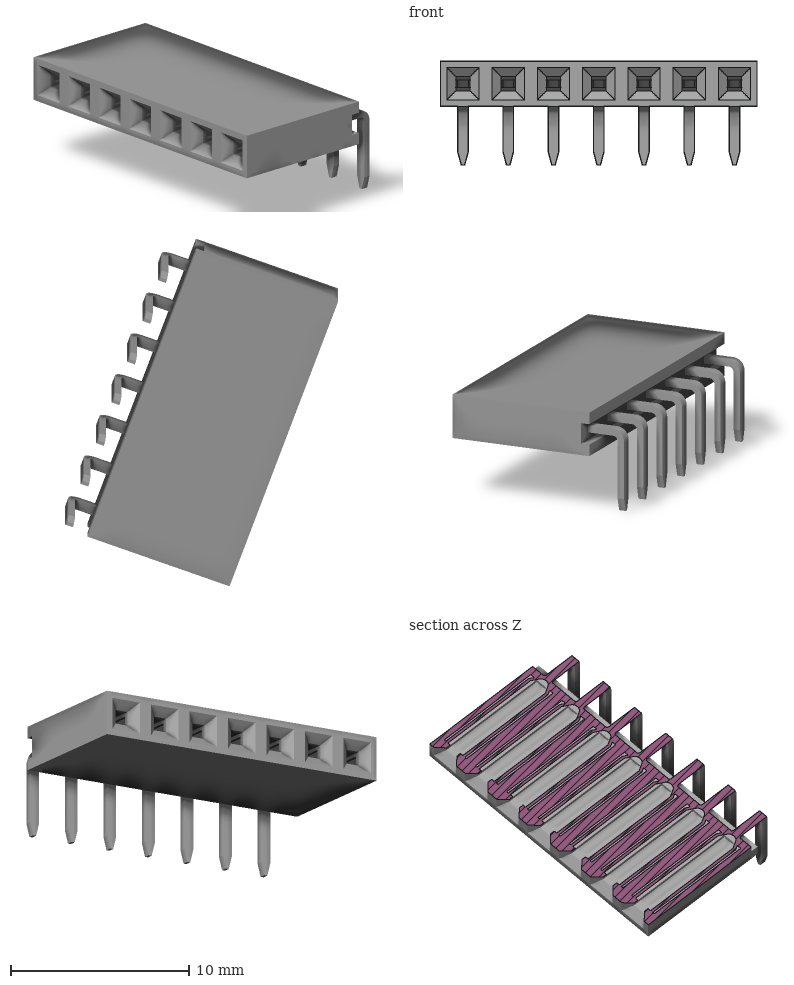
import cadquery as cq
import math

pitch = 2.54
contact_count = 7
body_length = pitch * contact_count
body_depth = 8.5
body_height = 2.54
notch_depth = 0.5
notch_height = 1.2
notch_floor_y = body_depth - notch_depth

funnel_size = 1.8
bore_size = 0.8
funnel_depth = (funnel_size - bore_size) / 2
throat_depth = 0.3
chamber_front_y = funnel_depth + throat_depth
chamber_back_wall = 0.5
chamber_back_y = notch_floor_y - chamber_back_wall
chamber_width = funnel_size

contact_thickness = 0.4
tine_gap = 1.2
tine_width = 0.2
flare_angle = math.radians(30)
crotch_radius = 0.43
flare_start_y = notch_floor_y + 0.1
pin_width = 0.6
tip_width = 0.2
tip_length = 0.75
pin_reach = 1.7
pin_drop = 3.3
bend_inner_radius = 0.3
bend_outer_radius = bend_inner_radius + contact_thickness

crotch_edge_y = flare_start_y - tine_width / math.sin(flare_angle)
crotch_sag = crotch_radius - math.sqrt(crotch_radius**2 - (pin_width / 2) ** 2)
pin_back_y = body_depth + pin_reach
pin_bottom_z = -body_height / 2 - pin_drop


def make_body():
    """Plain block with a notch running along its rear face."""
    body = cq.Workplane("XY").box(body_length, body_depth, body_height, centered=(True, False, True))
    notch = (
        cq.Workplane("XY")
        .box(body_length, notch_depth, notch_height, centered=(True, False, True))
        .translate((0, notch_floor_y, 0))
    )
    return body.cut(notch)


def make_opening():
    """Funnel, bore and tine chamber for one contact, centred on x = 0."""
    funnel = (
        cq.Workplane("XZ")
        .rect(funnel_size, funnel_size)
        .workplane(offset=-funnel_depth)
        .rect(bore_size, bore_size)
        .loft(ruled=True)
    )
    bore = (
        cq.Workplane("XY")
        .box(bore_size, chamber_back_y - funnel_depth, bore_size, centered=(True, False, True))
        .translate((0, funnel_depth, 0))
    )
    chamber = (
        cq.Workplane("XY")
        .box(chamber_width, chamber_back_y - chamber_front_y, contact_thickness, centered=(True, False, True))
        .translate((0, chamber_front_y, 0))
    )
    return funnel.union(bore).union(chamber)


def flare_end_y(start_y, half_width):
    """Y at which a flare starting at the pin's side reaches half_width from the centre."""
    return start_y - (half_width - pin_width / 2) / math.tan(flare_angle)


def make_fork_gap():
    """Space between the tines, from the chamber front to the rounded crotch."""
    half_gap = tine_gap / 2
    half_crotch = pin_width / 2
    gap_flare_y = flare_end_y(crotch_edge_y, half_gap)
    return (
        cq.Workplane("XY")
        .workplane(offset=-contact_thickness / 2)
        .moveTo(-half_gap, chamber_front_y)
        .lineTo(-half_gap, gap_flare_y)
        .lineTo(-half_crotch, crotch_edge_y)
        .threePointArc((0, crotch_edge_y + crotch_sag), (half_crotch, crotch_edge_y))
        .lineTo(half_gap, gap_flare_y)
        .lineTo(half_gap, chamber_front_y)
        .close()
        .extrude(contact_thickness)
    )


def make_fork(gap):
    """Two flat tines that flare out from the pin and run forward on both sides of the gap."""
    half_width = tine_gap / 2 + tine_width
    fork_flare_y = flare_end_y(flare_start_y, half_width)
    blank = (
        cq.Workplane("XY")
        .workplane(offset=-contact_thickness / 2)
        .moveTo(-half_width, chamber_front_y)
        .lineTo(-half_width, fork_flare_y)
        .lineTo(-pin_width / 2, flare_start_y)
        .lineTo(pin_width / 2, flare_start_y)
        .lineTo(half_width, fork_flare_y)
        .lineTo(half_width, chamber_front_y)
        .close()
        .extrude(contact_thickness)
    )
    return blank.cut(gap)


def make_pin():
    """Strip leaving the fork toward +Y, bent down and tapered to a tip."""
    top_z = contact_thickness / 2
    strip = (
        cq.Workplane("YZ")
        .moveTo(flare_start_y, top_z)
        .lineTo(pin_back_y - bend_outer_radius, top_z)
        .radiusArc((pin_back_y, top_z - bend_outer_radius), bend_outer_radius)
        .lineTo(pin_back_y, pin_bottom_z)
        .lineTo(pin_back_y - contact_thickness, pin_bottom_z)
        .lineTo(pin_back_y - contact_thickness, top_z - bend_outer_radius)
        .radiusArc((pin_back_y - bend_outer_radius, -top_z), -bend_inner_radius)
        .lineTo(flare_start_y, -top_z)
        .close()
        .extrude(pin_width / 2, both=True)
    )
    taper_z = pin_bottom_z + tip_length
    outline = (
        cq.Workplane("XZ")
        .moveTo(-pin_width / 2, top_z)
        .lineTo(pin_width / 2, top_z)
        .lineTo(pin_width / 2, taper_z)
        .lineTo(tip_width / 2, pin_bottom_z)
        .lineTo(-tip_width / 2, pin_bottom_z)
        .lineTo(-pin_width / 2, taper_z)
        .close()
        .extrude(-pin_back_y)
    )
    return strip.intersect(outline)


opening = make_opening()
fork_gap = make_fork_gap()
contact = make_fork(fork_gap).union(make_pin())

result = make_body()
for index in range(contact_count):
    x = (index - (contact_count - 1) / 2) * pitch
    result = result.cut(opening.translate((x, 0, 0)))
    result = result.cut(fork_gap.translate((x, 0, 0)))
    result = result.union(contact.translate((x, 0, 0)))